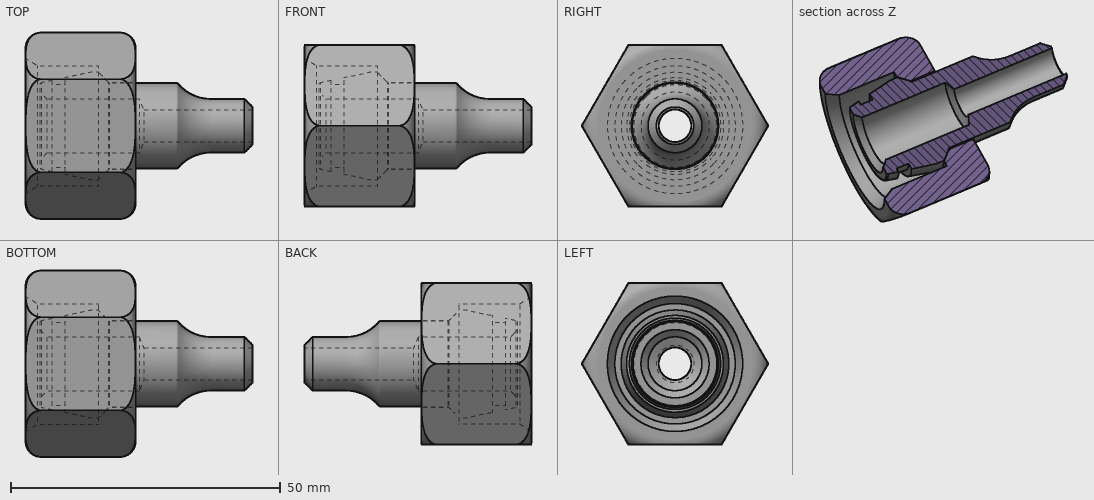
import cadquery as cq
import math

total_length = 42.25

nut_length = 20.52
nut_across_flats = 30.03
nut_corner_round = 3.0
nut_thread_diameter = 22.4
nut_mouth_diameter = 24.9
nut_mouth_depth = 2.25
nut_mouth_bevel = 0.13
nut_floor_depth = 13.5
nut_hole_diameter = 16.2

nipple_start = 2.7
cone_end_bevel = 0.25
cone_start_diameter = 16.15
cone_half_angle = 12.0
shoulder_diameter = 20.0
shank_diameter = 15.9
shank_end = 28.25
shank_edge_round = 0.35
tube_diameter = 10.0
tube_start = 34.45
tube_bevel = 1.5

bore_diameter = 6.0
wide_bore_diameter = 10.0
wide_bore_end = 21.1
wide_bore_cone_half_angle = 67.0
bore_mouth_diameter = 12.65
bore_mouth_depth = 1.25

groove_front_diameter = 16.98
groove_back_diameter = 18.0
groove_floor_diameter = 15.37

nut_corner_radius = nut_across_flats / 2 / math.cos(math.radians(30))
nut_hole_radius = nut_hole_diameter / 2
shoulder_radius = shoulder_diameter / 2
shank_radius = shank_diameter / 2
tube_radius = tube_diameter / 2
cone_start_radius = cone_start_diameter / 2
groove_front_radius = groove_front_diameter / 2
groove_back_radius = groove_back_diameter / 2
groove_floor_radius = groove_floor_diameter / 2

cone_start = nipple_start + cone_end_bevel


def cone_position(radius):
    """X where the sealing cone reaches the given radius."""
    return cone_start + (radius - cone_start_radius) / math.tan(math.radians(cone_half_angle))


groove_front = cone_position(groove_front_radius)
groove_back = cone_position(groove_back_radius)
shoulder_start = cone_position(shoulder_radius)


def revolve_about_x(profile):
    """Turn an open XY profile (X along the part, Y as radius) into a solid about the X axis."""
    return profile.close().revolve(360, (0, 0, 0), (1, 0, 0))


def make_nut():
    hexagon = cq.Workplane("YZ").polygon(6, 2 * nut_corner_radius).extrude(nut_length)
    rounded_blank = (
        cq.Workplane("YZ")
        .circle(nut_corner_radius)
        .extrude(nut_length)
        .edges("%CIRCLE")
        .fillet(nut_corner_round)
    )
    return hexagon.intersect(rounded_blank).cut(nut_cavity())


def nut_cavity():
    """Beveled mouth, thread bore, flat floor, and the 45 degree seat down to the shank hole."""
    mouth_radius = nut_mouth_diameter / 2
    thread_radius = nut_thread_diameter / 2
    seat_end = nut_floor_depth + shoulder_radius - nut_hole_radius
    return revolve_about_x(
        cq.Workplane("XY")
        .lineTo(0, mouth_radius + nut_mouth_bevel)
        .lineTo(nut_mouth_bevel, mouth_radius)
        .lineTo(nut_mouth_depth, thread_radius)
        .lineTo(nut_floor_depth, thread_radius)
        .lineTo(nut_floor_depth, shoulder_radius)
        .lineTo(seat_end, nut_hole_radius)
        .lineTo(nut_length, nut_hole_radius)
        .lineTo(nut_length, 0)
    )


def make_nipple():
    neck_length = tube_start - shank_end
    neck_drop = shank_radius - tube_radius
    neck_radius = (neck_length**2 + neck_drop**2) / (2 * neck_drop)
    half_angle = math.asin(neck_length / neck_radius) / 2
    neck_middle = (
        tube_start - neck_radius * math.sin(half_angle),
        tube_radius + neck_radius * (1 - math.cos(half_angle)),
    )
    shoulder_back_end = nut_floor_depth + shoulder_radius - shank_radius
    body = revolve_about_x(
        cq.Workplane("XY")
        .moveTo(nipple_start, 0)
        .lineTo(nipple_start, cone_start_radius - cone_end_bevel)
        .lineTo(cone_start, cone_start_radius)
        .lineTo(groove_front, groove_front_radius)
        .lineTo(groove_front, groove_floor_radius)
        .lineTo(groove_back, groove_floor_radius)
        .lineTo(groove_back, groove_back_radius)
        .lineTo(shoulder_start, shoulder_radius)
        .lineTo(nut_floor_depth, shoulder_radius)
        .lineTo(shoulder_back_end, shank_radius)
        .lineTo(shank_end, shank_radius)
        .threePointArc(neck_middle, (tube_start, tube_radius))
        .lineTo(total_length - tube_bevel, tube_radius)
        .lineTo(total_length, tube_radius - tube_bevel)
        .lineTo(total_length, 0)
    )
    shank_edge = cq.selectors.NearestToPointSelector((shank_end, 0, 0))
    return body.edges("%CIRCLE").edges(shank_edge).fillet(shank_edge_round).cut(nipple_bore())


def nipple_bore():
    """Beveled mouth and wide bore, narrowing over a cone to the tube bore."""
    bore_radius = bore_diameter / 2
    wide_radius = wide_bore_diameter / 2
    cone_length = (wide_radius - bore_radius) / math.tan(math.radians(wide_bore_cone_half_angle))
    return revolve_about_x(
        cq.Workplane("XY")
        .moveTo(nipple_start, 0)
        .lineTo(nipple_start, bore_mouth_diameter / 2)
        .lineTo(nipple_start + bore_mouth_depth, wide_radius)
        .lineTo(wide_bore_end, wide_radius)
        .lineTo(wide_bore_end + cone_length, bore_radius)
        .lineTo(total_length, bore_radius)
        .lineTo(total_length, 0)
    )


nut = make_nut()
nipple = make_nipple()
result = cq.Compound.makeCompound([nut.solids().val(), nipple.solids().val()])